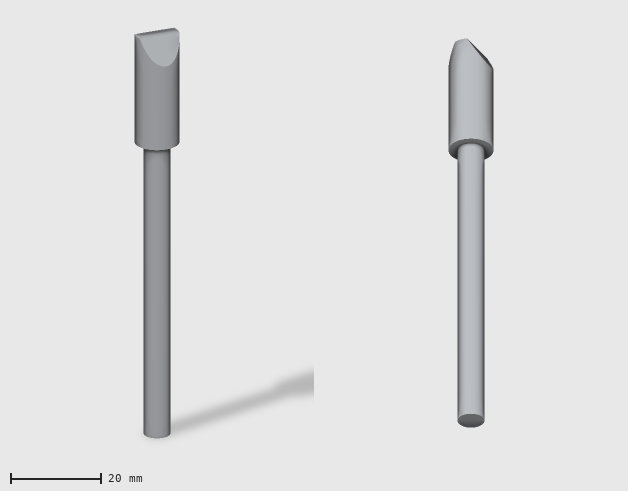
import cadquery as cq
import math

total_length = 96.1
head_diameter = 10.0
head_length = 26.0
shank_diameter = 6.0
tip_width = 3.0
flat_angle = 60.0

shank_length = total_length - head_length
head_radius = head_diameter / 2
wedge_height = (head_diameter - tip_width) / 2 * math.tan(math.radians(flat_angle))
shoulder_height = total_length - wedge_height

shank = cq.Workplane("XY").circle(shank_diameter / 2).extrude(shank_length)
head = cq.Workplane("XY").workplane(offset=shank_length).circle(head_radius).extrude(head_length)

wedge_envelope = (
    cq.Workplane("XZ")
    .moveTo(-head_radius, shank_length)
    .lineTo(head_radius, shank_length)
    .lineTo(head_radius, shoulder_height)
    .lineTo(tip_width / 2, total_length)
    .lineTo(-tip_width / 2, total_length)
    .lineTo(-head_radius, shoulder_height)
    .close()
    .extrude(head_radius, both=True)
)

result = shank.union(head.intersect(wedge_envelope))